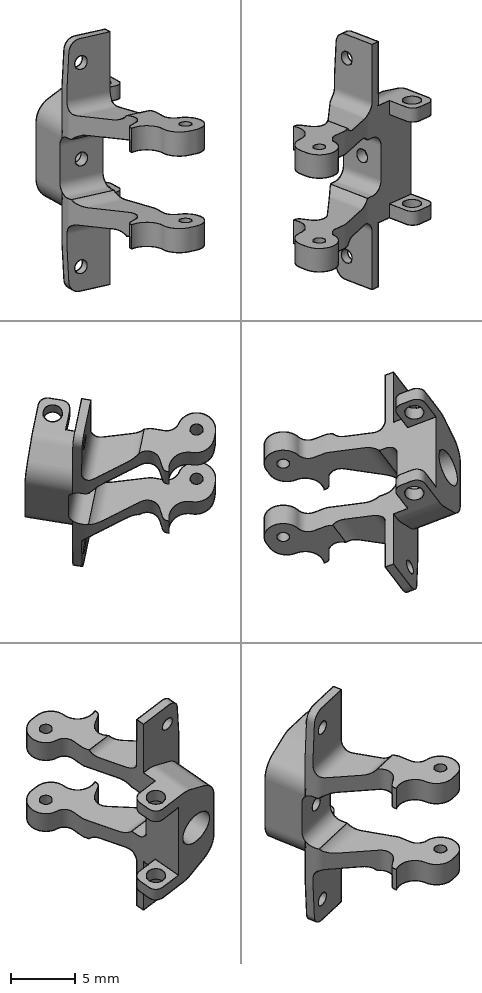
import cadquery as cq
import math

total_length = 14.0
total_width = 7.3
plate_height = 21.0
body_width = 4.0
standard_radius = 1.0
screw_diameter = 1.13
tolerance = 0.002

plate_start = 3.75
plate_end = 4.5
taper_start_z = 6.49
taper_depth = 0.23
plate_hole_y = 1.3
plate_hole_z = 8.48

block_half_height = 5.02
block_low_half_height = 3.57
block_slope_start_y = 3.05
block_radius = 2.0
lug_length = 2.5
lug_width = 6.5
lug_thickness = 1.2
lug_overlap = 0.2
lug_radius = 0.75
lug_hole_diameter = 1.5
lug_hole_y = 5.23
bore_diameter = 3.0
bore_depth = 2.5

pocket_floor_x = 3.46
pocket_half_height = 2.5
pocket_ledge_x = 5.02
arm_inner_x = 6.13
arm_inner_z = 3.0

arm_waist_z = 4.54
waist_end_x = 7.65

bend_x = 4.98
lower_slope = math.radians(40)
shoulder_x = 8.99
shoulder_y = 5.3
eye_radius = 1.5
eye_x = total_length - eye_radius
eye_y = total_width - eye_radius
eye_lower_y = 5.25
eye_hole_diameter = 0.99
hook_slope = math.radians(63)
hook_straight = 0.82
hook_arc_end = (10.95, 1.76)
hook_tip = (11.09, 1.76)
notch_center_x = 9.26


def mirror_pair(half):
    return half.union(half.mirror("XY"))


def make_plate():
    half_height = plate_height / 2
    outline = [
        (0, -taper_start_z), (0, taper_start_z), (taper_depth, half_height),
        (body_width, half_height), (body_width, -half_height), (taper_depth, -half_height),
    ]
    plate = cq.Workplane("YZ", origin=(plate_start, 0, 0)).polyline(outline).close()
    plate = plate.extrude(plate_end - plate_start)
    end_edges = plate.edges("|X").filter(lambda edge: abs(edge.Center().z) > taper_start_z + tolerance)
    lower_corners = end_edges.filter(lambda edge: edge.Center().y < body_width / 2)
    plate = lower_corners.fillet(standard_radius)
    holes = (
        cq.Workplane("YZ")
        .pushPoints([(plate_hole_y, -plate_hole_z), (plate_hole_y, plate_hole_z)])
        .circle(screw_diameter / 2)
        .extrude(total_length)
    )
    return plate.cut(holes)


def make_block():
    outline = [
        (0, -block_low_half_height), (0, block_low_half_height),
        (block_slope_start_y, block_half_height), (body_width, block_half_height),
        (body_width, -block_half_height), (block_slope_start_y, -block_half_height),
    ]
    block = cq.Workplane("YZ").polyline(outline).close().extrude(plate_end)
    sloped_side = block.edges("|X").filter(lambda edge: edge.Center().y < body_width - tolerance)
    return sloped_side.fillet(block_radius)


def make_lug():
    start_y = body_width - lug_overlap
    lug = (
        cq.Workplane("XY", origin=(0, start_y, block_half_height - lug_thickness))
        .rect(lug_length, lug_width - start_y, centered=False)
        .extrude(lug_thickness)
        .edges("|Z and >Y")
        .fillet(lug_radius)
    )
    hole = (
        cq.Workplane("XY").center(lug_length / 2, lug_hole_y)
        .circle(lug_hole_diameter / 2).extrude(plate_height)
    )
    return lug.cut(hole)


def make_arm_plan():
    notch_center_y = (
        (notch_center_x - bend_x) * math.tan(lower_slope) - standard_radius / math.cos(lower_slope)
    )

    def notch_point(angle):
        return (
            notch_center_x + standard_radius * math.sin(angle),
            notch_center_y + standard_radius * math.cos(angle),
        )

    notch_start = notch_point(-lower_slope)
    notch_end = notch_point(hook_slope)
    hook_arc_start = (
        notch_end[0] + hook_straight * math.cos(hook_slope),
        notch_end[1] - hook_straight * math.sin(hook_slope),
    )

    neck_center_y = shoulder_y + standard_radius
    center_distance = eye_radius + standard_radius
    neck_rise = neck_center_y - eye_y
    neck_run = math.sqrt(center_distance ** 2 - neck_rise ** 2)
    neck_start = (eye_x - neck_run, shoulder_y)
    neck_end = (
        eye_x - neck_run * eye_radius / center_distance,
        eye_y + neck_rise * eye_radius / center_distance,
    )

    plan = (
        cq.Workplane("XY", origin=(0, 0, -plate_height / 2))
        .moveTo(plate_start, 0)
        .lineTo(bend_x, 0)
        .lineTo(*notch_start)
        .threePointArc(notch_point(0), notch_end)
        .lineTo(*hook_arc_start)
        .tangentArcPoint(hook_arc_end, relative=False)
        .lineTo(*hook_tip)
        .radiusArc((eye_x, eye_lower_y - eye_radius), eye_radius)
        .radiusArc((total_length, eye_lower_y), -eye_radius)
        .lineTo(total_length, eye_y)
        .threePointArc((eye_x, total_width), neck_end)
        .radiusArc(neck_start, standard_radius)
        .lineTo(shoulder_x, shoulder_y)
        .lineTo(bend_x, body_width)
        .lineTo(plate_start, body_width)
        .close()
        .extrude(plate_height)
    )
    bends = plan.edges("|Z").filter(
        lambda edge: min(abs(edge.Center().x - bend_x), abs(edge.Center().x - shoulder_x)) < tolerance
    )
    plan = bends.fillet(standard_radius)
    hole = cq.Workplane("XY", origin=(0, 0, -plate_height / 2)).center(eye_x, eye_y)
    return plan.cut(hole.circle(eye_hole_diameter / 2).extrude(plate_height))


def make_arm_side():
    waist_start_x = plate_end + standard_radius
    waist_rise = block_half_height - arm_waist_z
    waist_run = math.sqrt(standard_radius ** 2 - (standard_radius - waist_rise) ** 2)
    inner_run = arm_inner_x - pocket_ledge_x
    inner_rise = arm_inner_z - pocket_half_height
    inner_radius = (inner_run ** 2 + inner_rise ** 2) / (2 * inner_rise)
    side = (
        cq.Workplane("XZ")
        .moveTo(plate_start, pocket_half_height)
        .lineTo(pocket_ledge_x, pocket_half_height)
        .radiusArc((arm_inner_x, arm_inner_z), inner_radius)
        .lineTo(total_length, arm_inner_z)
        .lineTo(total_length, block_half_height)
        .lineTo(waist_end_x + waist_run, block_half_height)
        .radiusArc((waist_end_x, arm_waist_z), standard_radius)
        .lineTo(waist_start_x, arm_waist_z)
        .radiusArc((plate_end, arm_waist_z + standard_radius), standard_radius)
        .lineTo(plate_start, arm_waist_z + standard_radius)
        .close()
    )
    return side.extrude(-total_width)


def make_pocket():
    pocket_length = total_length - pocket_floor_x
    return (
        cq.Workplane("XY")
        .box(pocket_length, total_width, 2 * pocket_half_height, centered=(False, False, True))
        .translate((pocket_floor_x, 0, 0))
        .edges("|Y and <X")
        .fillet(standard_radius)
    )


def make_bore():
    bore_plane = cq.Workplane("YZ").center(body_width / 2, 0)
    through_hole = bore_plane.circle(screw_diameter / 2).extrude(total_length)
    return bore_plane.circle(bore_diameter / 2).extrude(bore_depth).union(through_hole)


arm = make_arm_plan().intersect(make_arm_side())
result = make_plate().union(make_block()).union(mirror_pair(make_lug())).union(mirror_pair(arm))
result = result.cut(make_pocket()).cut(make_bore())